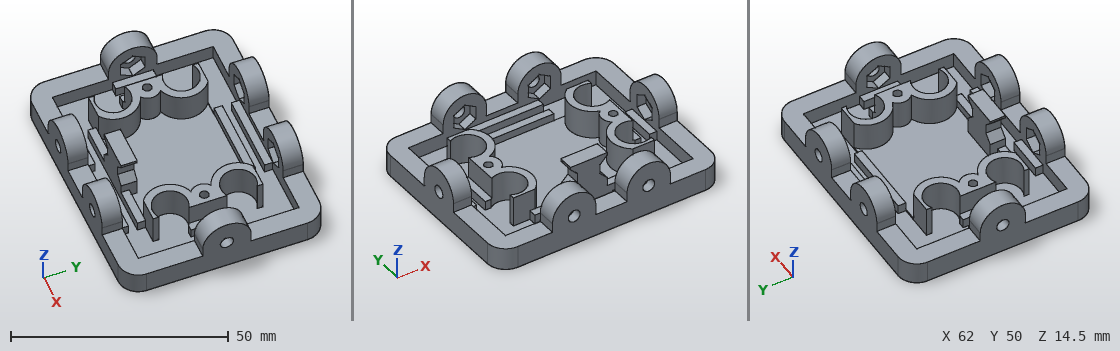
import cadquery as cq

LENGTH = 62.0
WIDTH = 50.0
RIM_HEIGHT = 6.0
WALL = 5.0
CORNER_RADIUS = WALL
FLOOR = 2.0
INNER_X = LENGTH / 2 - WALL
INNER_Y = WIDTH / 2 - WALL

PLATFORM_X = 19.5
PLATFORM_Y = 13.65
PLATFORM_HEIGHT = 0.5
PLATFORM_TOP = FLOOR + PLATFORM_HEIGHT

TOTAL_HEIGHT = 14.5
LUG_WIDTH = 12.0
LUG_RADIUS = LUG_WIDTH / 2
LUG_AXIS_Z = TOTAL_HEIGHT - LUG_RADIUS
LUG_SPACING = LENGTH / 3
BOLT_DIAMETER = 3.2
BOLT_AXIS_Z = 8.1
NUT_ACROSS_CORNERS = 7.05
POINT_UP_TURN = 30
NUT_DEPTH = 2.5

RIB_WIDTH = 2.05
RIB_TOP = 4.45
END_RIB_LENGTH = 10.15
BACK_RIB_LENGTH = 20.1
FRONT_RIB_LENGTH = 30.0

HOLDER_TOP = 10.1
CUP_X = 17.3
CUP_Y = 8.5
CUP_RADIUS = 4.35
CUP_WALL = 2.0
POST_RADIUS = 3.2
SCREW_DIAMETER = 2.2

CLIP_TOP = 14.0
CLIP_LIP = 0.7
CLIP_HALF_WIDTH = END_RIB_LENGTH / 2
CLIP_NECK_HALF_WIDTH = 3.1
CLIP_NECK_BOTTOM = 8.75
CLIP_DEPTH = 4.0


def block(x_min, x_max, y_min, y_max, z_min, z_max):
    """Axis-aligned box given by its limits."""
    size = (x_max - x_min, y_max - y_min, z_max - z_min)
    return cq.Workplane("XY").box(*size, centered=False).translate((x_min, y_min, z_min))


def cylinder(x, y, radius, z_min, z_max):
    """Vertical cylinder."""
    return cq.Workplane("XY", origin=(x, y, z_min)).circle(radius).extrude(z_max - z_min)


def make_tray():
    tray = cq.Workplane("XY").rect(LENGTH, WIDTH).extrude(RIM_HEIGHT)
    tray = tray.edges("|Z").fillet(CORNER_RADIUS)
    tray = tray.cut(block(-INNER_X, INNER_X, -INNER_Y, INNER_Y, FLOOR, RIM_HEIGHT))
    return tray.union(block(-PLATFORM_X, PLATFORM_X, -PLATFORM_Y, PLATFORM_Y, 0, PLATFORM_TOP))


def lug_places():
    """Yield the X and Y of each lug's outer face centre and its turn about Z."""
    for side in (-1, 1):
        yield side * LENGTH / 2, 0, 90 * side
        for x in (-LUG_SPACING / 2, LUG_SPACING / 2):
            yield x, side * WIDTH / 2, 90 + 90 * side


def placed(shape, place):
    """Move a shape made with its outer face on the XZ plane, facing -Y, to a lug place."""
    x, y, angle = place
    return shape.rotate((0, 0, 0), (0, 0, 1), angle).translate((x, y, 0))


def make_lug():
    foot = block(-LUG_RADIUS, LUG_RADIUS, 0, WALL, FLOOR, LUG_AXIS_Z)
    crown = cq.Workplane("XZ").center(0, LUG_AXIS_Z).circle(LUG_RADIUS).extrude(-WALL)
    return foot.union(crown)


def make_bolt_and_nut():
    axis = cq.Workplane("XZ").center(0, BOLT_AXIS_Z)
    bolt = axis.circle(BOLT_DIAMETER / 2).extrude(-WALL)
    turned_axis = axis.transformed(rotate=(0, 0, POINT_UP_TURN))
    nut = turned_axis.polygon(6, NUT_ACROSS_CORNERS).extrude(-NUT_DEPTH)
    return bolt.union(nut.translate((0, WALL - NUT_DEPTH, 0)))


def make_ribs():
    def rib(x_min, x_max, y_min, y_max):
        return block(x_min, x_max, y_min, y_max, FLOOR, RIB_TOP)

    back = BACK_RIB_LENGTH / 2
    front = FRONT_RIB_LENGTH / 2
    end = END_RIB_LENGTH / 2
    ribs = rib(-back, back, PLATFORM_Y, PLATFORM_Y + RIB_WIDTH)
    ribs = ribs.union(rib(-back, back, INNER_Y - RIB_WIDTH, INNER_Y))
    ribs = ribs.union(rib(-front, front, -PLATFORM_Y - RIB_WIDTH, -PLATFORM_Y))
    for x_min, x_max in ((-front, -CLIP_HALF_WIDTH), (CLIP_HALF_WIDTH, front)):
        ribs = ribs.union(rib(x_min, x_max, -INNER_Y, -INNER_Y + RIB_WIDTH))
    for x_min in (-INNER_X, -PLATFORM_X - RIB_WIDTH, PLATFORM_X, INNER_X - RIB_WIDTH):
        ribs = ribs.union(rib(x_min, x_min + RIB_WIDTH, -end, end))
    return ribs


def make_holder():
    """Solid body of the +X pair of cups, trimmed to the platform outline."""
    holder = cylinder(CUP_X, 0, POST_RADIUS, FLOOR, HOLDER_TOP)
    holder = holder.union(block(CUP_X, PLATFORM_X, -CUP_Y, CUP_Y, FLOOR, HOLDER_TOP))
    for y in (-CUP_Y, CUP_Y):
        holder = holder.union(cylinder(CUP_X, y, CUP_RADIUS + CUP_WALL, FLOOR, HOLDER_TOP))
    return holder.intersect(block(0, PLATFORM_X, -PLATFORM_Y, PLATFORM_Y, FLOOR, HOLDER_TOP))


def make_holder_bores():
    """Cup bores and screw hole of the +X holder, all reaching down to the floor."""
    bores = cylinder(CUP_X, 0, SCREW_DIAMETER / 2, FLOOR, HOLDER_TOP)
    for y in (-CUP_Y, CUP_Y):
        bores = bores.union(cylinder(CUP_X, y, CUP_RADIUS, FLOOR, HOLDER_TOP))
    return bores


def make_clip():
    flare = CLIP_HALF_WIDTH - CLIP_NECK_HALF_WIDTH
    lip_bottom = CLIP_TOP - CLIP_LIP
    right_side = [
        (CLIP_HALF_WIDTH, FLOOR),
        (CLIP_HALF_WIDTH, CLIP_NECK_BOTTOM - flare),
        (CLIP_NECK_HALF_WIDTH, CLIP_NECK_BOTTOM),
        (CLIP_NECK_HALF_WIDTH, lip_bottom - flare),
        (CLIP_HALF_WIDTH, lip_bottom),
        (CLIP_HALF_WIDTH, CLIP_TOP),
    ]
    left_side = [(-x, z) for x, z in reversed(right_side)]
    front_y = -PLATFORM_Y - RIB_WIDTH
    profile = cq.Workplane("XZ", origin=(0, front_y, 0)).polyline(right_side + left_side).close()
    return profile.extrude(-CLIP_DEPTH)


result = make_tray()
for place in lug_places():
    result = result.union(placed(make_lug(), place))
result = result.union(make_ribs())
result = result.union(make_holder())
result = result.union(make_holder().mirror("YZ"))
result = result.cut(make_holder_bores())
result = result.cut(make_holder_bores().mirror("YZ"))
result = result.union(make_clip())
for place in lug_places():
    result = result.cut(placed(make_bolt_and_nut(), place))